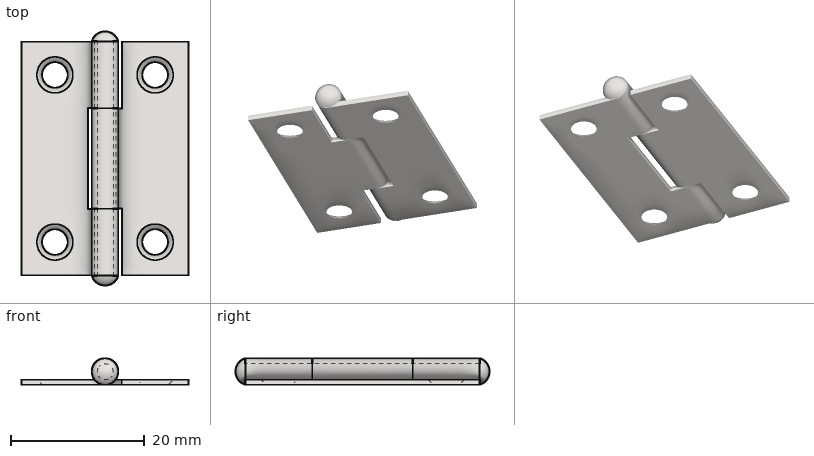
import cadquery as cq
import math

overall_length = 38.07
overall_width = 25.0
leaf_length = 35.0
leaf_thickness = 0.8
knuckle_diameter = 4.0
middle_knuckle_length = 15.0
end_gap = 0.057
leaf_clearance_x = 2.5
hole_spacing_x = 15.0
hole_spacing_y = 25.0
hole_small_diameter = 3.8

half_width = overall_width / 2
half_length = leaf_length / 2
knuckle_radius = knuckle_diameter / 2
axis_height = knuckle_radius
pin_diameter = knuckle_diameter - 2 * leaf_thickness
head_start = half_length + end_gap
head_height = overall_length / 2 - head_start
hole_large_diameter = hole_small_diameter + 2 * leaf_thickness
middle_knuckle_end = middle_knuckle_length / 2
outer_knuckle_start = middle_knuckle_end + end_gap
outer_knuckle_spans = [(-half_length, -outer_knuckle_start), (outer_knuckle_start, half_length)]
middle_knuckle_spans = [(-middle_knuckle_end, middle_knuckle_end)]


def make_sheet(x_start, x_end, y_start, y_end):
    """Flat sheet of leaf thickness resting on Z = 0."""
    sheet = cq.Workplane("XY").box(x_end - x_start, y_end - y_start, leaf_thickness, centered=False)
    return sheet.translate((x_start, y_start, 0))


def cylinder_along_axis(diameter, y_start, y_end):
    """Cylinder around the hinge axis."""
    base = cq.Workplane("XZ", origin=(0, y_start, axis_height))
    return base.circle(diameter / 2).extrude(y_start - y_end)


def countersink(x, y):
    """Cone that cuts a countersunk screw hole through the full leaf thickness."""
    cone = cq.Solid.makeCone(hole_small_diameter / 2, hole_large_diameter / 2, leaf_thickness)
    return cq.Workplane(cone.translate(cq.Vector(x, y, 0)))


def make_leaf(side, knuckle_spans):
    """Leaf on the -X (side = -1) or +X (side = 1) half, with a knuckle on each Y span."""
    plate_edges = sorted([side * half_width, side * leaf_clearance_x])
    tab_edges = sorted([side * leaf_clearance_x, 0])
    leaf = make_sheet(*plate_edges, -half_length, half_length)
    for y_start, y_end in knuckle_spans:
        leaf = leaf.union(make_sheet(*tab_edges, y_start, y_end))
        leaf = leaf.union(cylinder_along_axis(knuckle_diameter, y_start, y_end))
    leaf = leaf.cut(cylinder_along_axis(pin_diameter, -half_length, half_length))
    for y in (-hole_spacing_y / 2, hole_spacing_y / 2):
        leaf = leaf.cut(countersink(side * hole_spacing_x / 2, y))
    return leaf


def make_pin():
    """Pin with a domed head at each end, as one solid of revolution about the hinge axis."""
    pin_radius = pin_diameter / 2
    dome_radius = (knuckle_radius**2 + head_height**2) / (2 * head_height)
    dome_centre = overall_length / 2 - dome_radius
    mid_angle = math.asin(knuckle_radius / dome_radius) / 2
    dome_mid_x = dome_radius * math.sin(mid_angle)
    dome_mid_y = dome_centre + dome_radius * math.cos(mid_angle)
    profile = (
        cq.Workplane("XY", origin=(0, 0, axis_height))
        .moveTo(0, -overall_length / 2)
        .threePointArc((dome_mid_x, -dome_mid_y), (knuckle_radius, -head_start))
        .lineTo(pin_radius, -head_start)
        .lineTo(pin_radius, head_start)
        .lineTo(knuckle_radius, head_start)
        .threePointArc((dome_mid_x, dome_mid_y), (0, overall_length / 2))
        .close()
    )
    return profile.revolve(360, (0, 0, 0), (0, 1, 0))


left_leaf = make_leaf(-1, outer_knuckle_spans)
right_leaf = make_leaf(1, middle_knuckle_spans)
pin = make_pin()

result = cq.Compound.makeCompound([left_leaf.solids().val(), right_leaf.solids().val(), pin.val()])